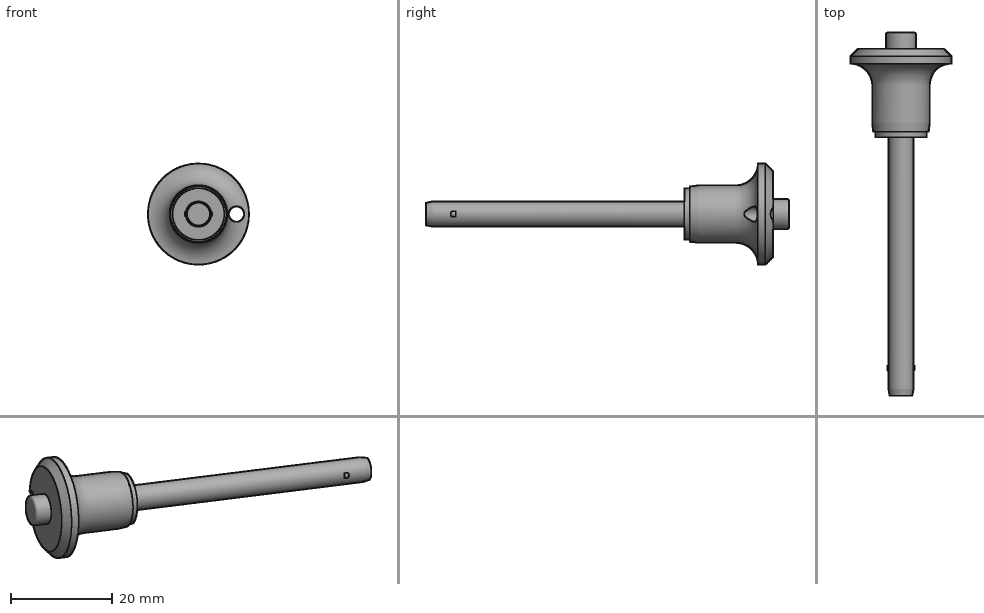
import cadquery as cq

total_length = 71.7
tip_y = -total_length / 2
button_end_y = total_length / 2

button_diameter = 6.0
button_height = 3.2
button_edge_radius = 0.5

flange_diameter = 20.0
flange_bevel = 1.5
flange_rim_height = 1.5
body_diameter = 11.4
body_length = 7.4
taper_end_diameter = 11.0
taper_length = 1.7
collar_diameter = 10.2
collar_length = 1.1
flare_radius = (flange_diameter - body_diameter) / 2

lanyard_hole_diameter = 3.0
lanyard_hole_offset = 7.5

shank_diameter = 5.0
tip_diameter = 4.5
tip_length = 1.3

lug_diameter = 1.3
lug_protrusion = 0.25
lug_straight_length = 0.5
lug_ball_to_tip = 5.4

flange_top_y = button_end_y - button_height
rim_top_y = flange_top_y - flange_bevel
rim_bottom_y = rim_top_y - flange_rim_height
flare_end_y = rim_bottom_y - flare_radius
body_end_y = flare_end_y - body_length
taper_end_y = body_end_y - taper_length
collar_end_y = taper_end_y - collar_length


def make_turned_body():
    """Revolve the half section (radius, Y) about the Y axis."""
    button_radius = button_diameter / 2
    flange_radius = flange_diameter / 2
    body_radius = body_diameter / 2
    collar_radius = collar_diameter / 2
    shank_radius = shank_diameter / 2
    section = (
        cq.Workplane("XY")
        .moveTo(0, button_end_y)
        .lineTo(button_radius - button_edge_radius, button_end_y)
        .radiusArc((button_radius, button_end_y - button_edge_radius), button_edge_radius)
        .lineTo(button_radius, flange_top_y)
        .lineTo(flange_radius - flange_bevel, flange_top_y)
        .lineTo(flange_radius, rim_top_y)
        .lineTo(flange_radius, rim_bottom_y)
        .radiusArc((body_radius, flare_end_y), -flare_radius)
        .lineTo(body_radius, body_end_y)
        .lineTo(taper_end_diameter / 2, taper_end_y)
        .lineTo(collar_radius, taper_end_y)
        .lineTo(collar_radius, collar_end_y)
        .lineTo(shank_radius, collar_end_y)
        .lineTo(shank_radius, tip_y + tip_length)
        .lineTo(tip_diameter / 2, tip_y)
        .lineTo(0, tip_y)
        .close()
    )
    return section.revolve(360, (0, 0, 0), (0, 1, 0))


def make_lanyard_hole():
    """Cylinder parallel to the pin axis, from the flange top to the end of the flare."""
    return (
        cq.Workplane("XZ", origin=(lanyard_hole_offset, flange_top_y, 0))
        .circle(lanyard_hole_diameter / 2)
        .extrude(flange_top_y - flare_end_y)
    )


def make_locking_lug(side):
    """Ball-ended lug on the +X (side = 1) or -X (side = -1) flank of the shank."""
    lug_radius = lug_diameter / 2
    center_x = side * (shank_diameter / 2 + lug_protrusion - lug_radius)
    ball_center = (center_x, tip_y + lug_ball_to_tip, 0)
    ball = cq.Workplane("XY", origin=ball_center).sphere(lug_radius)
    straight = cq.Workplane("XZ", origin=ball_center).circle(lug_radius).extrude(-lug_straight_length)
    return straight.union(ball)


result = make_turned_body().cut(make_lanyard_hole())
for side in (-1, 1):
    result = result.union(make_locking_lug(side))